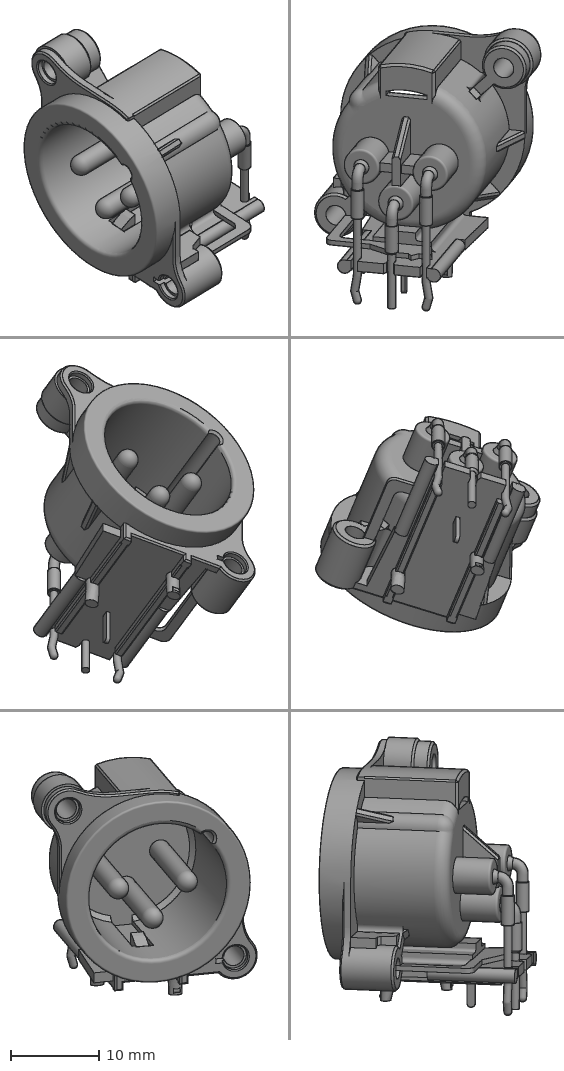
import cadquery as cq
import math


ring_radius = 10.9
flange_front, flange_back = 2.75, 3.72
flange_edge = 0.2
ring_edge = 0.23

body_radius = 9.07
body_back = 14.55
body_round = 1.53

lip_radius = 8.65
cavity_radius = 8.15
cavity_floor = 13.4
floor_round = 0.58

ear_offset = 9.9
ear_radius = 2.6
collar_radius = 2.88
collar_step = 7.2
collar_back = 9.0
collar_edge = 0.25
screw_hole_radius = 1.18
screw_recess_radius = 1.47
screw_recess_edge = 0.15
screw_recess_depth = 0.72

housing_half_width = 3.35
housing_radius = 11.25
housing_end_edge = 0.3

pin_pitch = 4.05
low_pin_z = -3.97
contact_radius = 1.2
contact_tip = 1.35
post_radius = 2.07
post_back = 18.9

lead_y = 20.5
lead_radius = 0.63
lead_collar_radius = 0.75
lead_thin_radius = 0.45
lead_bend = 1.15
lead_bottom = -16.0

plate_top, plate_bottom = -10.37, -11.58
rail_bottom = -12.5
rail_inner, rail_outer = 3.35, 4.35
rail_edge = 0.17
rail_back = 19.73
base_back = 21.7
plate_half_width = 4.98
rod_x, rod_z, rod_radius = 5.27, -11.17, 0.8
side_block_back = 11.55
side_block_half_width = 6.57

sheet_top = -9.8

pin_places = [(-pin_pitch, 0), (pin_pitch, 0), (0, low_pin_z)]
wall_mid_radius = (body_radius + cavity_radius) / 2


def arc_height(radius, x):
    """Height at x of a circle about the origin."""
    return math.sqrt(radius**2 - x**2)


def block(x_range, y_range, z_range):
    size = [high - low for low, high in (x_range, y_range, z_range)]
    corner = (x_range[0], y_range[0], z_range[0])
    return cq.Workplane("XY", origin=corner).box(*size, centered=False)


def front_plane(y, x=0, z=0):
    """Sketch plane facing the front; a negative extrusion runs toward +Y."""
    return cq.Workplane("XZ", origin=(x, y, z))


def cylinder_y(radius, y_start, y_end, x=0, z=0):
    return front_plane(y_start, x, z).circle(radius).extrude(y_start - y_end)


def cylinder_z(radius, z_low, z_high, x, y):
    return cq.Workplane("XY", origin=(x, y, z_low)).circle(radius).extrude(z_high - z_low)


def segment(start, end, radius):
    """Round bar between two points with a ball at its end."""
    run = cq.Vector(*end) - cq.Vector(*start)
    bar = cq.Solid.makeCylinder(radius, run.Length, cq.Vector(*start), run)
    ball = cq.Workplane("XY", origin=end).sphere(radius)
    return cq.Workplane(obj=bar).union(ball)


def side_profile(points, x_low, x_high):
    """Extrude an outline given as (y, z) points from x_low to x_high."""
    return cq.Workplane("YZ", origin=(x_low, 0, 0)).polyline(points).close().extrude(x_high - x_low)


def ear_blend(edge_level, blend_start):
    """Concave arc from a straight edge to an ear, for an ear at (-offset, offset).

    The edge lies at height edge_level and the arc leaves it at -blend_start.
    Returns the arc's middle point and its tangent point on the ear.
    """
    across = ear_offset - blend_start
    rise = edge_level - ear_offset
    radius = (across**2 + rise**2 - ear_radius**2) / (2 * (ear_radius - rise))
    centre_u, centre_v = -blend_start, edge_level + radius
    share = ear_radius / (ear_radius + radius)
    tangent_u = -ear_offset + across * share
    tangent_v = ear_offset + (rise + radius) * share
    half_turn = (-math.pi / 2 + math.atan2(tangent_v - centre_v, tangent_u - centre_u)) / 2
    middle = (centre_u + radius * math.cos(half_turn), centre_v + radius * math.sin(half_turn))
    return middle, (tangent_u, tangent_v)


def transpose(point):
    """Mirror a point across the diagonal through both ears."""
    return -point[1], -point[0]


def opposite(point):
    return -point[0], -point[1]


top_blend_start, side_blend_start = 4.35, 5.27
top_mid, top_tangent = ear_blend(housing_radius, top_blend_start)
side_mid, side_tangent = (transpose(p) for p in ear_blend(ring_radius, side_blend_start))
ear_diagonal = ear_offset + ear_radius / math.sqrt(2)


def upper_flange():
    arc_mid_x = housing_half_width / 2
    outline = (
        front_plane(flange_front)
        .moveTo(housing_half_width, 0)
        .lineTo(housing_half_width, arc_height(housing_radius, housing_half_width))
        .threePointArc((arc_mid_x, arc_height(housing_radius, arc_mid_x)), (0, housing_radius))
        .lineTo(-top_blend_start, housing_radius)
        .threePointArc(top_mid, top_tangent)
        .threePointArc((-ear_diagonal, ear_diagonal), side_tangent)
        .threePointArc(side_mid, (-ring_radius, side_blend_start))
        .lineTo(-ring_radius, 0)
        .close()
    )
    return outline.extrude(flange_front - flange_back).faces("<Y").edges().chamfer(flange_edge)


def lower_flange():
    ear_end_x = ear_offset - arc_height(ear_radius, plate_bottom + ear_offset)
    outline = (
        front_plane(flange_front)
        .moveTo(-rail_outer, 0)
        .lineTo(ring_radius, 0)
        .lineTo(ring_radius, -side_blend_start)
        .threePointArc(opposite(side_mid), opposite(side_tangent))
        .threePointArc((ear_diagonal, -ear_diagonal), (ear_end_x, plate_bottom))
        .lineTo(rail_outer, plate_bottom)
        .lineTo(rail_outer, rail_bottom)
        .lineTo(rail_inner, rail_bottom)
        .lineTo(rail_inner, plate_bottom)
        .lineTo(-rail_inner, plate_bottom)
        .lineTo(-rail_inner, rail_bottom)
        .lineTo(-rail_outer, rail_bottom)
        .close()
    )
    return outline.extrude(flange_front - flange_back).faces("<Y").edges().chamfer(flange_edge)


key_angle = math.radians(45.5)
key_x = cavity_radius * math.cos(key_angle)
key_z = cavity_radius * math.sin(key_angle)
key_radius = 0.85
key_lip = 0.3
key_wall_radius = 1.58
key_wall_distance = 7.92


def shell():
    ring = cylinder_y(ring_radius, 0, flange_back).faces("<Y").edges().fillet(ring_edge)
    barrel = cylinder_y(body_radius, flange_back, body_back)
    bulge_x = key_wall_distance * math.cos(key_angle)
    bulge_z = key_wall_distance * math.sin(key_angle)
    barrel = barrel.union(cylinder_y(key_wall_radius, flange_back, body_back, bulge_x, bulge_z))
    barrel = barrel.faces(">Y").edges().fillet(body_round)
    return ring.union(barrel)


def latch_housing():
    top_x = housing_half_width - flange_edge
    top_z = arc_height(housing_radius, top_x)
    housing = (
        front_plane(flange_back)
        .moveTo(-housing_half_width, 0)
        .lineTo(-housing_half_width, top_z - flange_edge)
        .lineTo(-top_x, top_z)
        .threePointArc((0, housing_radius), (top_x, top_z))
        .lineTo(housing_half_width, top_z - flange_edge)
        .lineTo(housing_half_width, 0)
        .close()
        .extrude(flange_back - body_back)
    )
    return housing.faces(">Y").edges("not <Z").chamfer(housing_end_edge)


def cavity():
    lip = lip_radius - cavity_radius
    diagonal = math.sqrt(0.5)
    profile = (
        cq.Workplane("XY")
        .moveTo(0, 0)
        .lineTo(lip_radius, 0)
        .threePointArc((lip_radius - lip * diagonal, lip * (1 - diagonal)), (cavity_radius, lip))
        .lineTo(cavity_radius, cavity_floor - floor_round)
        .lineTo(cavity_radius - floor_round, cavity_floor)
        .lineTo(0, cavity_floor)
        .close()
    )
    hollow = profile.revolve(360, (0, 0, 0), (0, 1, 0))
    keyway = cylinder_y(key_radius, 0, cavity_floor, key_x, key_z)
    key_mouth = (
        front_plane(0, key_x, key_z)
        .circle(key_radius + key_lip)
        .workplane(offset=-key_lip)
        .circle(key_radius)
        .loft()
    )
    radial_slot = block((0, cavity_radius), (0, cavity_floor), (-key_radius, key_radius))
    key_sides = radial_slot.cut(cylinder_y(cavity_radius - 2 * floor_round, 0, cavity_floor))
    key_sides = key_sides.rotate((0, 0, 0), (0, 1, 0), -math.degrees(key_angle))
    return hollow.union(keyway).union(key_mouth).union(key_sides)


window_half_width = 2.42
window_bottom = 7.3
latch_slot_x = (-1.8, 0.75)
latch_tab_x = (-1.3, 0.23)
latch_slot_front = 4.72
latch_slot_depth = 0.45
latch_tab_top = -7.2
latch_tab_shoulder = (6.2, -7.4)
latch_tab_back = 6.9


def latch_window():
    window = block((-window_half_width, window_half_width), (cavity_floor - floor_round, body_back),
                   (window_bottom, lip_radius))
    return window.intersect(cylinder_y(cavity_radius, 0, body_back))


def latch_slot():
    slot_bottom = -cavity_radius - latch_slot_depth
    return block(latch_slot_x, (latch_slot_front, cavity_floor), (slot_bottom, latch_tab_top))


def latch_tab():
    tab_base = -body_radius
    points = [
        (latch_slot_front, tab_base),
        (latch_slot_front, -cavity_radius),
        latch_tab_shoulder,
        (latch_tab_back, latch_tab_top),
        (latch_tab_back, tab_base),
    ]
    return side_profile(points, *latch_tab_x)


gusset_width = 1.05
gusset_edge = 0.23


def gusset(angle):
    """Triangular rib from the back of the ring to the barrel, at an angle about the shell axis."""
    rib = (
        cq.Workplane("XY", origin=(0, 0, -gusset_width / 2))
        .polyline([
            (wall_mid_radius, flange_back),
            (ring_radius, flange_back),
            (body_radius, collar_back),
            (wall_mid_radius, collar_back),
        ])
        .close()
        .extrude(gusset_width)
    )
    slope = cq.Vector(body_radius - ring_radius, collar_back - flange_back, 0)
    rib = rib.edges(cq.selectors.ParallelDirSelector(slope)).chamfer(gusset_edge)
    return rib.rotate((0, 0, 0), (0, 1, 0), -angle)


ear_web_half_width = 0.63
ear_web_flare = 0.63
ear_web_rear_root = 9.5


def ear_web(angle):
    """Wall joining the barrel to an ear collar, with a flared root and a sloped rear end."""
    ear_distance = ear_offset * math.sqrt(2)
    half = ear_web_half_width
    root = arc_height(body_radius, half + ear_web_flare)
    flare_end = root + ear_web_flare
    shoulder = ear_web_flare * (1 - math.sqrt(0.5))
    flare_mid = (root + shoulder, half + shoulder)
    web = (
        front_plane(flange_back)
        .moveTo(wall_mid_radius, half + ear_web_flare)
        .lineTo(root, half + ear_web_flare)
        .threePointArc(flare_mid, (flare_end, half))
        .lineTo(ear_distance, half)
        .lineTo(ear_distance, -half)
        .lineTo(flare_end, -half)
        .threePointArc((flare_mid[0], -flare_mid[1]), (root, -half - ear_web_flare))
        .lineTo(wall_mid_radius, -half - ear_web_flare)
        .close()
        .extrude(flange_back - collar_back)
    )
    rear_slope = (
        cq.Workplane("XY", origin=(0, 0, -half))
        .polyline([
            (wall_mid_radius, collar_back),
            (flare_end, collar_back),
            (body_radius, ear_web_rear_root),
            (wall_mid_radius, ear_web_rear_root),
        ])
        .close()
        .extrude(2 * half)
    )
    return web.union(rear_slope).rotate((0, 0, 0), (0, 1, 0), -angle)


def upper_collar():
    narrow = cylinder_y(ear_radius, flange_back, collar_back, -ear_offset, ear_offset)
    wide = cylinder_y(collar_radius, flange_back, collar_step, -ear_offset, ear_offset)
    narrow = narrow.faces(">Y").edges().chamfer(collar_edge)
    wide = wide.faces(">Y").edges().chamfer(collar_edge)
    return narrow.union(wide)


def lower_collar():
    collar = cylinder_y(ear_radius, flange_back, collar_back, ear_offset, -ear_offset)
    return collar.faces(">Y").edges().chamfer(collar_edge)


brace_back = 8.65
brace_knee = [(9.96, 6.62), (9.65, 6.97)]
brace_z = (-10.37, -6.35)


def lower_ear_brace():
    """Stepped wall filling the corner between the barrel and the lower ear."""
    height = brace_z[1] - brace_z[0]
    return (
        cq.Workplane("XY", origin=(0, 0, brace_z[0]))
        .polyline([
            (ear_offset - ear_radius, flange_back),
            (ring_radius, flange_back),
            (ring_radius, brace_knee[0][1]),
            *brace_knee,
            (body_radius, brace_back),
            (ear_offset - ear_radius, brace_back),
        ])
        .close()
        .extrude(height)
    )


def screw_hole(x, z):
    hole = cylinder_y(screw_hole_radius, flange_front, collar_back, x, z)
    recess_back = flange_front + screw_recess_depth
    mouth = (
        front_plane(flange_front, x, z)
        .circle(screw_recess_radius + screw_recess_edge)
        .workplane(offset=-screw_recess_edge)
        .circle(screw_recess_radius)
        .loft()
    )
    return hole.union(cylinder_y(screw_recess_radius, flange_front, recess_back, x, z)).union(mouth)


def contact(x, z):
    ball_y = contact_tip + contact_radius
    shaft = cylinder_y(contact_radius, ball_y, body_back, x, z)
    return shaft.union(front_plane(ball_y, x, z).sphere(contact_radius))


def rear_post(x, z):
    post = cylinder_y(post_radius, cavity_floor, post_back, x, z)
    return post.faces(">Y").edges().fillet(collar_edge)


rib_half_width = 0.52
rib_edge = 0.25
rib_start_z = 4.95
rib_end_z = 1.53
web_back = 18.32


def rear_ribs():
    upright = side_profile(
        [(cavity_floor, low_pin_z), (cavity_floor, rib_start_z), (body_back, rib_start_z),
         (post_back - rib_edge, rib_end_z), (post_back - rib_edge, low_pin_z)],
        -rib_half_width, rib_half_width,
    )
    upright = upright.faces("<X or >X").edges("not(|Y or |Z)").chamfer(rib_edge)
    cross_web = block((-pin_pitch, pin_pitch), (cavity_floor, web_back), (-rib_half_width, rib_half_width))
    return upright.union(cross_web)


flare_radius = 0.9
flare_length = 0.58
lead_overlap = 0.3


def lead_elbow(x, z, end_z):
    """Flared root at the post, then a bar that bends from +Y to straight down."""
    flare = (
        front_plane(post_back, x, z)
        .circle(flare_radius)
        .workplane(offset=-flare_length)
        .circle(lead_radius)
        .loft()
    )
    diagonal = math.sqrt(0.5)
    root_y = post_back - lead_overlap
    bend_y = lead_y - lead_bend
    path = (
        cq.Workplane("YZ", origin=(x, 0, 0))
        .moveTo(root_y, z)
        .lineTo(bend_y, z)
        .threePointArc((bend_y + lead_bend * diagonal, z - lead_bend * (1 - diagonal)),
                       (lead_y, z - lead_bend))
        .lineTo(lead_y, end_z)
    )
    bar = front_plane(root_y, x, z).circle(lead_radius).sweep(path)
    return flare.union(bar)


side_collar_z = (-5.53, -2.02)
side_collar_edge = 0.1
low_collar_z = (-9.45, -6.0)
kink_outward = 0.32
kink_z = -14.4
tip_z = -15.52


def side_lead(side):
    """Solder lead of an upper pin; its end is kinked so that it snaps into a board."""
    x = side * pin_pitch
    collar = cylinder_z(lead_collar_radius, *side_collar_z, x, lead_y)
    collar = collar.edges().chamfer(side_collar_edge)
    knee = (x, lead_y, rail_bottom)
    kink = (x + side * kink_outward, lead_y, kink_z)
    tip = (x, lead_y, tip_z)
    return (
        lead_elbow(x, 0, side_collar_z[1])
        .union(collar)
        .union(segment((x, lead_y, side_collar_z[0]), knee, lead_thin_radius))
        .union(segment(knee, kink, lead_thin_radius))
        .union(segment(kink, tip, lead_thin_radius))
    )


def low_lead():
    collar = cylinder_z(lead_collar_radius, *low_collar_z, 0, lead_y)
    collar = collar.faces("<Z").edges().chamfer(collar_edge)
    thin = cylinder_z(lead_thin_radius, lead_bottom, low_collar_z[0], 0, lead_y)
    return lead_elbow(0, low_pin_z, low_collar_z[1]).union(collar).union(thin)


cradle_half_width = 3.45
cradle_shoulder = -9.27
cradle_foot = 0.52
neck_half_width = 1.6
neck_round = 0.35
neck_top = -8.32
cradle_back = 16.27


def hollow_step(half_width, low_z, radius):
    """Ridge narrowing to half_width, from low_z up to the top of its hollow side rounds."""
    high_z = low_z + radius
    foot = half_width + radius
    rise = radius * (1 - math.sqrt(0.5))
    return (
        front_plane(flange_back)
        .moveTo(-foot, low_z)
        .threePointArc((-half_width - rise, low_z + rise), (-half_width, high_z))
        .lineTo(half_width, high_z)
        .threePointArc((half_width + rise, low_z + rise), (foot, low_z))
        .close()
        .extrude(flange_back - cradle_back)
    )


def cradle():
    """Stepped foot between the barrel and the base plate."""
    length = (flange_back, cradle_back)
    base = block((-cradle_half_width, cradle_half_width), length, (plate_top, cradle_shoulder))
    neck = block((-neck_half_width, neck_half_width), length, (cradle_shoulder, neck_top))
    return (
        base.union(neck)
        .union(hollow_step(cradle_half_width, plate_top, cradle_foot))
        .union(hollow_step(neck_half_width, cradle_shoulder, neck_round))
    )


side_notch = (3.7, 4.45)
low_notch_half_width = 0.43
low_notch_mouth = 0.65
low_notch_taper = 0.45


def base_plate():
    plate = block((-plate_half_width, plate_half_width), (flange_back, base_back), (plate_bottom, plate_top))
    rod_edge = rod_x + rod_radius
    foot = (
        cq.Workplane("XY", origin=(0, 0, plate_bottom))
        .polyline([
            (-side_block_half_width, flange_back),
            (side_block_half_width, flange_back),
            (rod_edge, side_block_back),
            (-rod_edge, side_block_back),
        ])
        .close()
        .extrude(plate_top - plate_bottom)
    )
    plate = plate.union(foot)
    for side in (-1, 1):
        plate = plate.union(cylinder_y(rod_radius, side_block_back, base_back, side * rod_x, rod_z))
        rail_x = sorted((side * rail_inner, side * rail_outer))
        rail = block(rail_x, (flange_back, rail_back), (rail_bottom, plate_bottom))
        plate = plate.union(rail.edges("|Y and <Z").chamfer(rail_edge))
        notch_x = sorted((side * side_notch[0], side * side_notch[1]))
        plate = plate.cut(block(notch_x, (lead_y, base_back), (rail_bottom, plate_top)))
    taper_y = base_back - low_notch_taper
    low_notch = (
        cq.Workplane("XY", origin=(0, 0, plate_bottom))
        .polyline([
            (-low_notch_half_width, lead_y),
            (-low_notch_half_width, taper_y),
            (-low_notch_mouth, base_back),
            (low_notch_mouth, base_back),
            (low_notch_half_width, taper_y),
            (low_notch_half_width, lead_y),
        ])
        .close()
        .extrude(plate_top - plate_bottom)
    )
    return plate.cut(low_notch)


peg_radius = 0.78
peg_x = 3.83
front_peg_y, rear_peg_y = 6.5, 11.58
peg_taper_z = -13.2
peg_bottom = -14.83
peg_end_shift = 0.2
barb_radius = 0.37
barb_inset = 0.32
barb_z = -14.3


def board_peg(x, y, barb_side):
    """Locating peg, narrowed toward the barb on its flank."""
    peg = cylinder_z(peg_radius, peg_taper_z, plate_top, x, y)
    taper = (
        cq.Workplane("XY", origin=(x, y, peg_taper_z))
        .circle(peg_radius)
        .workplane(offset=peg_bottom - peg_taper_z)
        .center(0, barb_side * peg_end_shift)
        .ellipse(peg_radius, peg_radius - peg_end_shift)
        .loft()
    )
    barb_y = y + barb_side * (peg_radius - barb_inset)
    barb = cq.Workplane("YZ", origin=(x - peg_radius / 2, barb_y, barb_z)).circle(barb_radius)
    return peg.union(taper).union(barb.extrude(peg_radius))


blade_half_thickness = 0.23
blade_y = 15.4
blade_radius = 0.45


def ground_blade():
    """Flat solder tail with a round end."""
    centre_z = lead_bottom + blade_radius
    tail = block((-blade_half_thickness, blade_half_thickness),
                 (blade_y - blade_radius, blade_y + blade_radius), (centre_z, plate_top))
    end = cq.Workplane("YZ", origin=(-blade_half_thickness, blade_y, centre_z))
    return tail.union(end.circle(blade_radius).extrude(2 * blade_half_thickness))


strip_x = (7.57, 8.8)
strip_back = 17.4
strip_front = 5.18
strip_bend = 0.85
sheet_points = [(-4.25, 18.84), (-2.75, 18.9), (-2.07, rail_back), (-1.58, 19.2)]


def ground_sheet():
    """Sheet lying on the base plate, with an arm that runs forward into the lower ear."""
    width = strip_x[1] - strip_x[0]
    thickness = sheet_top - plate_top
    plane = cq.Workplane("XY", origin=(0, 0, plate_top))
    arm = (
        plane.moveTo(strip_x[0], strip_front)
        .lineTo(strip_x[1], strip_front)
        .lineTo(strip_x[1], strip_back)
        .lineTo(cradle_half_width, strip_back)
        .lineTo(cradle_half_width, strip_back - width)
        .lineTo(strip_x[0], strip_back - width)
        .close()
        .extrude(thickness)
    )
    arm = arm.edges("|Z and >X and >Y").fillet(strip_bend)
    inner_corner = (strip_x[0], strip_back - width, plate_top + thickness / 2)
    arm = arm.edges(cq.selectors.NearestToPointSelector(inner_corner)).fillet(strip_bend)
    pointed = (
        plane.polyline([
            (-cradle_half_width, cradle_back),
            *sheet_points,
            (0, sheet_points[-1][1]),
            (cradle_half_width, strip_back),
            (cradle_half_width, cradle_back),
        ])
        .close()
        .extrude(thickness)
    )
    return arm.union(pointed)


part = shell().union(upper_flange()).union(lower_flange()).union(latch_housing())
part = part.union(upper_collar()).union(lower_collar()).union(lower_ear_brace())
for web_angle in (135, -45):
    part = part.union(ear_web(web_angle))
for gusset_angle in (45, 180, 225):
    part = part.union(gusset(gusset_angle))
part = part.union(cradle())

part = part.cut(cavity()).cut(latch_window()).cut(latch_slot())
for sign in (-1, 1):
    part = part.cut(screw_hole(sign * ear_offset, -sign * ear_offset))
part = part.cut(block((strip_x[0], ear_offset), (flange_front, strip_front), (plate_top, sheet_top)))

part = part.union(latch_tab()).union(base_plate()).union(ground_sheet()).union(ground_blade())
for pin_x, pin_z in pin_places:
    part = part.union(contact(pin_x, pin_z)).union(rear_post(pin_x, pin_z))
part = part.union(rear_ribs())
part = part.union(side_lead(-1)).union(side_lead(1)).union(low_lead())
part = part.union(board_peg(-peg_x, rear_peg_y, 1)).union(board_peg(peg_x, front_peg_y, -1))

result = part